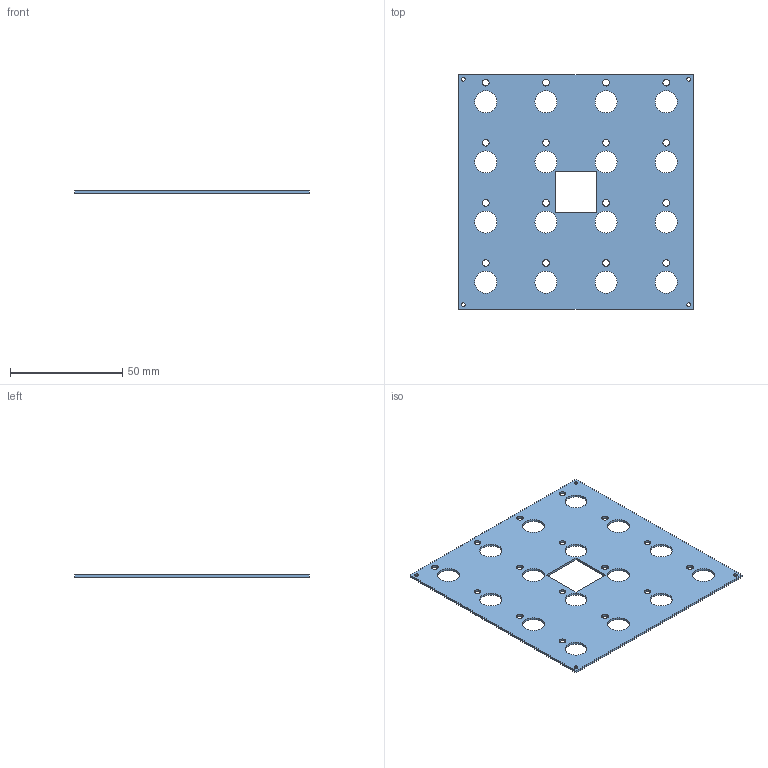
import cadquery as cq

plate_side = 104.35
plate_thickness = 1.0

window_side = 18.5

grid_count = 4
grid_pitch = 26.725
large_hole_diameter = 9.8
small_hole_diameter = 3.0
small_hole_offset_y = 8.525

corner_hole_diameter = 1.75
corner_hole_spacing = 100.2
corner_holes_per_side = 2


def make_plate():
    """Flat square plate with its underside on Z = 0."""
    return cq.Workplane("XY").box(
        plate_side, plate_side, plate_thickness, centered=(True, True, False)
    )


def cut_window(body):
    """Cut the central square window through the plate."""
    return body.faces(">Z").workplane(origin=(0, 0, 0)).rect(window_side, window_side).cutThruAll()


def cut_hole_grid(body, count, pitch, diameter, offset_y=0.0):
    """Drill a square grid of through holes, shifted along Y from the plate centre."""
    return (
        body.faces(">Z")
        .workplane(origin=(0, offset_y, 0))
        .rarray(pitch, pitch, count, count)
        .hole(diameter)
    )


result = make_plate()
result = cut_window(result)
result = cut_hole_grid(result, grid_count, grid_pitch, large_hole_diameter)
result = cut_hole_grid(result, grid_count, grid_pitch, small_hole_diameter, small_hole_offset_y)
result = cut_hole_grid(result, corner_holes_per_side, corner_hole_spacing, corner_hole_diameter)